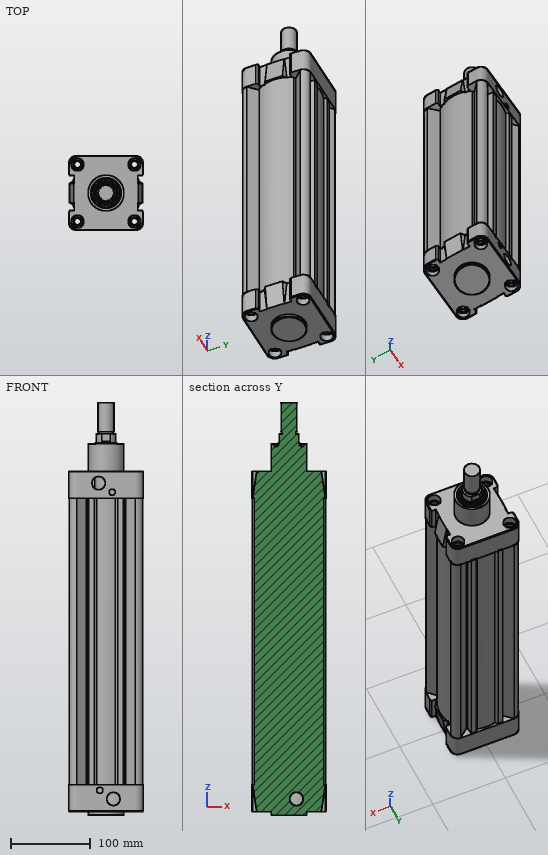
import cadquery as cq
import math

total_length = 518.0

cap_width = 94.0
cap_height = 34.0
cap_corner_radius = 10.5
cap_edge_chamfer = 1.0
rear_cap_bottom = 4.5
rear_cap_top = rear_cap_bottom + cap_height
front_cap_top = 432.0
front_cap_bottom = front_cap_top - cap_height

tube_width = 92.5
tube_half = tube_width / 2
tube_corner_start = 37.0
tube_barrel_radius = 44.0
tube_barrel_half_y_faces = 25.0
tube_barrel_half_x_faces = 24.0
tube_step_foot_half = 25.5
tube_step_foot = 34.5
rail_top = 45.5
rail_top_inner = 15.0
rail_top_outer = 22.0
rail_foot_inner = 12.0
rail_foot_outer = 23.0
rail_foot = 36.5

recess_depth = 6.5
recess_mouth_half = 24.5
recess_floor_half = 22.0
recess_mouth_bevel = 1.5
rib_crest_half = 12.0
rib_flank_run = 0.6
rib_low = 0.5
rib_high = 5.5

screw_offset = 36.0
screw_hole_diameter = 8.5
screw_head_diameter = 16.0
screw_head_depth = 10.5
socket_diameter = 11.5
socket_depth = 15.5

port_diameter = 16.5
port_offset = 9.5
front_port_z = 417.0
rear_port_z = 20.5
cushion_diameter = 8.0
cushion_offset = 8.0
cushion_depth = 3.0
front_cushion_z = 405.5
rear_cushion_z = 31.5
front_core_radius = 14.0
rear_chamber_radius = 22.5

spigot_diameter = 45.0
spigot_top = 466.0
spigot_chamfer = 1.0
seal_groove_mouth_diameter = 38.5
seal_groove_floor_diameter = 35.0
seal_groove_depth = 3.0
seal_shoulder_diameter = 30.5
seal_shoulder_drop = 1.5
seal_diameter = 27.0
seal_top = 468.0
rod_diameter = 25.0
rod_shoulder_z = 478.5
rod_across_flats = 22.5
rod_flat_bottom = 469.5
rod_neck_diameter = 18.0
thread_diameter = 20.0
thread_start_z = 481.0


def cylinder(diameter, bottom, top):
    """Round bar on the Z axis."""
    return cq.Workplane("XY").workplane(offset=bottom).circle(diameter / 2).extrude(top - bottom)


def barrel_height(offset):
    """Distance of the barrel surface from the tube centre plane, at a sideways offset."""
    return math.sqrt(tube_barrel_radius**2 - offset**2)


def sensor_rail():
    """Full-length raised rail on the -Y face of the tube, on its +X side."""
    return (
        cq.Workplane("XY")
        .workplane(offset=rear_cap_top)
        .polyline(
            [
                (rail_foot_inner, -rail_foot),
                (rail_foot_inner, -barrel_height(rail_foot_inner)),
                (rail_top_inner, -rail_top),
                (rail_top_outer, -rail_top),
                (rail_foot_outer, -barrel_height(rail_foot_outer)),
                (rail_foot_outer, -rail_foot),
            ]
        )
        .close()
        .extrude(front_cap_bottom - rear_cap_top)
    )


def tube():
    """Square profile with round corner columns, bulging faces and sensor rails."""
    corner_radius = tube_half - tube_corner_start
    corner_mid = tube_corner_start + corner_radius * math.sqrt(0.5)

    outline = cq.Workplane("XY").workplane(offset=rear_cap_top).moveTo(-tube_corner_start, -tube_half)
    for face in range(4):
        angle = face * math.pi / 2
        stepped = face % 2 == 1
        half = tube_barrel_half_x_faces if stepped else tube_barrel_half_y_faces
        shoulder = barrel_height(half)

        def turned(x, y):
            return (
                x * math.cos(angle) - y * math.sin(angle),
                x * math.sin(angle) + y * math.cos(angle),
            )

        if stepped:
            outline = outline.lineTo(*turned(-tube_step_foot_half, -tube_step_foot))
        outline = outline.lineTo(*turned(-half, -shoulder))
        outline = outline.threePointArc(turned(0, -tube_barrel_radius), turned(half, -shoulder))
        if stepped:
            outline = outline.lineTo(*turned(tube_step_foot_half, -tube_step_foot))
        outline = outline.lineTo(*turned(tube_corner_start, -tube_half))
        outline = outline.threePointArc(
            turned(corner_mid, -corner_mid), turned(tube_half, -tube_corner_start)
        )
    body = outline.close().extrude(front_cap_bottom - rear_cap_top)

    rail = sensor_rail()
    rails = rail.union(rail.mirror("YZ"))
    return body.union(rails).union(rails.mirror("XZ"))


def side_recess():
    """Cutter on the +X face, 0 <= Z <= cap_height, leaving a rib that rises towards Z = 0."""
    face = cap_width / 2
    floor = face - recess_depth
    trough = (
        cq.Workplane("XY")
        .polyline(
            [
                (floor, -recess_floor_half),
                (face - recess_mouth_bevel, -recess_floor_half),
                (face, -recess_mouth_half),
                (face, recess_mouth_half),
                (face - recess_mouth_bevel, recess_floor_half),
                (floor, recess_floor_half),
            ]
        )
        .close()
        .extrude(cap_height)
    )

    def rib_section(plane, height):
        base_half = rib_crest_half + rib_flank_run * height
        return plane.polyline(
            [
                (floor, -base_half),
                (floor + height, -rib_crest_half),
                (floor + height, rib_crest_half),
                (floor, base_half),
            ]
        ).close()

    rib = rib_section(cq.Workplane("XY"), rib_high)
    rib = rib_section(rib.workplane(offset=cap_height), rib_low).loft(ruled=True)
    return trough.cut(rib)


def cap():
    """End cap with its tube face at Z = 0 and its outer face at Z = cap_height."""
    block = (
        cq.Workplane("XY")
        .rect(cap_width, cap_width)
        .extrude(cap_height)
        .edges("|Z")
        .fillet(cap_corner_radius)
        .faces(">Z")
        .edges()
        .chamfer(cap_edge_chamfer)
    )
    recess = side_recess()
    return block.cut(recess).cut(recess.mirror("YZ"))


def front_drilling(diameter, x, z, depth):
    """Cutter for a round hole drilled from the -Y face."""
    return cq.Workplane("XZ", origin=(x, -cap_width / 2, z)).circle(diameter / 2).extrude(-depth)


def ports():
    """Cutters for the air ports and cushion screws of both caps."""
    front_port = front_drilling(port_diameter, -port_offset, front_port_z, cap_width / 2)
    front_port = front_port.cut(cylinder(2 * front_core_radius, front_cap_bottom, front_cap_top))

    rear_port = front_drilling(port_diameter, port_offset, rear_port_z, cap_width / 2)
    far_part = front_drilling(port_diameter, port_offset, rear_port_z, cap_width)
    chamber = cylinder(2 * rear_chamber_radius, rear_cap_bottom, rear_cap_top)
    rear_port = rear_port.union(far_part.intersect(chamber))

    front_cushion = front_drilling(cushion_diameter, cushion_offset, front_cushion_z, cushion_depth)
    rear_cushion = front_drilling(cushion_diameter, -cushion_offset, rear_cushion_z, cushion_depth)
    return [front_port, rear_port, front_cushion, rear_cushion]


def screw_holes():
    """Cutter for the four through holes, with stepped screw-head seats in both caps."""
    spots = [(x, y) for x in (-screw_offset, screw_offset) for y in (-screw_offset, screw_offset)]

    def bores(diameter, bottom, top):
        plane = cq.Workplane("XY").workplane(offset=bottom)
        return plane.pushPoints(spots).circle(diameter / 2).extrude(top - bottom)

    cutter = bores(screw_hole_diameter, rear_cap_bottom, front_cap_top)
    for diameter, depth in ((screw_head_diameter, screw_head_depth), (socket_diameter, socket_depth)):
        cutter = cutter.union(bores(diameter, front_cap_top - depth, front_cap_top))
        cutter = cutter.union(bores(diameter, rear_cap_bottom, rear_cap_bottom + depth))
    return cutter


def spigots():
    """Rear centring disc, and front neck with its seal groove and raised seal."""
    rear = cylinder(spigot_diameter, 0, rear_cap_bottom).faces("<Z").chamfer(spigot_chamfer)
    groove = (
        cq.Workplane("XY")
        .workplane(offset=spigot_top - seal_groove_depth)
        .circle(seal_groove_floor_diameter / 2)
        .workplane(offset=seal_groove_depth)
        .circle(seal_groove_mouth_diameter / 2)
        .loft()
    )
    front = cylinder(spigot_diameter, front_cap_top, spigot_top).cut(groove)
    shoulder = cylinder(seal_shoulder_diameter, front_cap_top, spigot_top - seal_shoulder_drop)
    seal = cylinder(seal_diameter, front_cap_top, seal_top)
    return rear.union(front).union(shoulder).union(seal)


def rod():
    """Piston rod with two wrench flats, a relief neck and the threaded end as a plain bar."""
    shank = cylinder(rod_diameter, front_cap_top, rod_shoulder_z)
    flat_cutter = (
        cq.Workplane("XY")
        .workplane(offset=rod_flat_bottom)
        .rect(rod_diameter, rod_diameter)
        .rect(rod_diameter, rod_across_flats)
        .extrude(rod_shoulder_z - rod_flat_bottom)
    )
    neck = cylinder(rod_neck_diameter, rod_shoulder_z, thread_start_z)
    thread = cylinder(thread_diameter, thread_start_z, total_length)
    return shank.cut(flat_cutter).union(neck).union(thread)


front_cap = cap().translate((0, 0, front_cap_bottom))
rear_cap = cap().mirror("XY").translate((0, 0, rear_cap_top))

result = tube().union(front_cap).union(rear_cap).cut(screw_holes())
for cutter in ports():
    result = result.cut(cutter)
result = result.union(spigots()).union(rod())